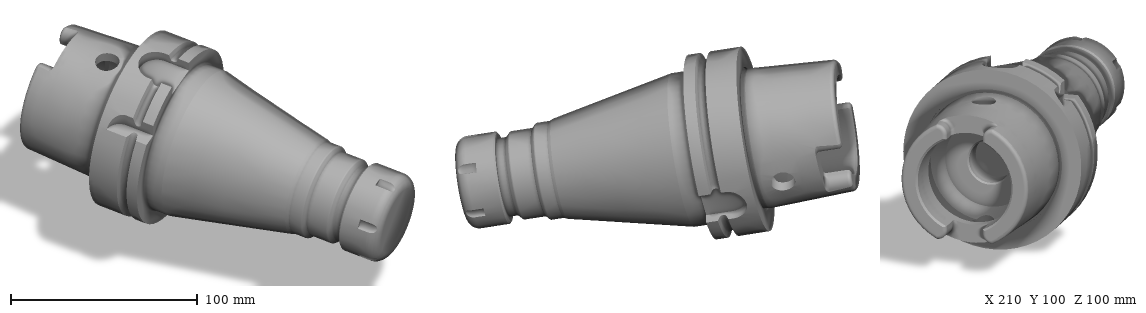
import cadquery as cq
import math


total_length = 210.0
flange_radius = 50.0

flange_start = 50.0
shank_end_radius = 35.5
shank_taper = 0.05
shank_rim_round = 2.0
relief_start = 47.7
relief_depth = 0.5
relief_ramp = 1.3
face_recess_radius = 39.0
face_recess_depth = 1.0
cross_hole_x = 34.9
cross_hole_radius = 6.5

bore_radius = 26.2
mouth_chamfer = 1.0
clamp_start = 19.7
clamp_end = 38.8
clamp_radius = 31.0
floor_radius = 24.8
floor_x = clamp_end + clamp_radius - floor_radius
thread_radius = 11.8
thread_depth = 12.5
thread_chamfer = 0.8

drive_slot_width = 20.2
drive_slot_top_depth = 9.7
drive_slot_bottom_depth = 14.5
drive_lug_radius = 5.2
drive_lug_height = 32.0
drive_floor_round = 1.9

flange_end = 79.0
groove_start = 66.8
groove_width = 5.9
groove_radius = 46.2
groove_slope = 23.0
groove_fillet = 1.7
groove_wall = (flange_radius - groove_radius) * math.tan(math.radians(groove_slope))

keyway_width = 19.7
keyway_start = 54.8
keyway_floor = 43.0
notch_offset = 31.3
notch_start = 54.8
notch_radius = 8.0

neck_radius = 41.5
neck_fillet = 1.0
cone_start = 89.5
cone_end = 156.5
cone_end_radius = 27.0
collar_start = 158.3
collar_radius = 26.2
collar_end = 165.7
collar_round = 1.0
nose_radius = 24.0
nose_start = 167.8
nose_end = 180.0
nose_round = 1.0
throat_start = 182.7
throat_radius = 21.2
throat_fillet = 1.3

nut_start = 187.3
nut_radius = 25.0
nut_chamfer = 0.8
nut_round = 6.3
nut_slot_count = 6
nut_slot_start = 198.0
nut_slot_radius = 3.0
nut_slot_floor = 23.0


def turned(points):
    """Solid of revolution about X from (x, radius) points, closed along the axis."""
    first_x = points[0][0]
    last_x = points[-1][0]
    outline = cq.Workplane("XY").polyline([(first_x, 0), *points, (last_x, 0)]).close()
    return outline.revolve(360, (0, 0, 0), (1, 0, 0))


def ring_edge(body, x, radius):
    """The circular edge of a turned body with the given x and radius."""
    tolerance = 0.002

    def matches(edge):
        if edge.geomType() != "CIRCLE":
            return False
        return abs(edge.Center().x - x) < tolerance and abs(edge.radius() - radius) < tolerance

    return body.edges().filter(matches)


def shank_radius(x):
    return shank_end_radius + shank_taper * x


def holder_blank():
    blank = turned([
        (0, shank_radius(0)),
        (relief_start, shank_radius(relief_start)),
        (relief_start + relief_ramp, shank_radius(relief_start) - relief_depth),
        (flange_start + face_recess_depth, shank_radius(relief_start) - relief_depth),
        (flange_start + face_recess_depth, face_recess_radius),
        (flange_start, face_recess_radius),
        (flange_start, flange_radius),
        (groove_start, flange_radius),
        (groove_start + groove_wall, groove_radius),
        (groove_start + groove_width - groove_wall, groove_radius),
        (groove_start + groove_width, flange_radius),
        (flange_end, flange_radius),
        (flange_end, neck_radius),
        (cone_start, neck_radius),
        (cone_end, cone_end_radius),
        (collar_start, collar_radius),
        (collar_end, collar_radius),
        (nose_start, nose_radius),
        (nose_end, nose_radius),
        (throat_start, throat_radius),
        (nut_start, throat_radius),
    ])
    rounded_rings = [
        (groove_start + groove_wall, groove_radius, groove_fillet),
        (groove_start + groove_width - groove_wall, groove_radius, groove_fillet),
        (flange_end, neck_radius, neck_fillet),
        (collar_end, collar_radius, collar_round),
        (nose_end, nose_radius, nose_round),
        (throat_start, throat_radius, throat_fillet),
    ]
    for x, radius, fillet_radius in rounded_rings:
        blank = ring_edge(blank, x, radius).fillet(fillet_radius)
    return ring_edge(blank, 0, shank_radius(0)).fillet(shank_rim_round)


def shank_bore():
    return turned([
        (0, bore_radius + mouth_chamfer),
        (mouth_chamfer, bore_radius),
        (clamp_start, bore_radius),
        (clamp_start, clamp_radius),
        (clamp_end, clamp_radius),
        (floor_x, floor_radius),
        (floor_x, thread_radius + thread_chamfer),
        (floor_x + thread_chamfer, thread_radius),
        (floor_x + thread_depth, thread_radius),
    ])


def drive_slot(depth):
    """Cutter for the +Z slot across the shank end; it flares over the rounded lug corners."""
    half = drive_slot_width / 2
    flare_side = half + drive_lug_radius
    flare_start = drive_lug_height - drive_lug_radius
    bend = drive_lug_radius * math.sqrt(0.5)
    reach = flange_radius
    plain_slot = (
        cq.Workplane("YZ")
        .moveTo(-half, 0)
        .lineTo(half, 0)
        .lineTo(half, flare_start)
        .threePointArc((flare_side - bend, flare_start + bend), (flare_side, drive_lug_height))
        .lineTo(reach, drive_lug_height)
        .lineTo(reach, reach)
        .lineTo(-reach, reach)
        .lineTo(-reach, drive_lug_height)
        .lineTo(-flare_side, drive_lug_height)
        .threePointArc((bend - flare_side, flare_start + bend), (-half, flare_start))
        .close()
        .extrude(depth)
    )
    plain_slot = plain_slot.faces(">X").edges("not <Z").fillet(drive_floor_round)

    block_reach = shank_radius(flange_start)
    block = cq.Workplane("XY").box(depth, 2 * block_reach, block_reach, centered=(False, True, False))
    lugs = block.cut(plain_slot)
    lugs = lugs.faces("<X").edges("not (<Z or <Y or >Y)").fillet(shank_rim_round)
    return block.cut(lugs)


def keyway():
    """Cutter for the round-ended +Z keyway that opens toward the cone."""
    half = keyway_width / 2
    round_x = keyway_start + half
    height = flange_radius
    straight = cq.Workplane("XY").box(flange_end - round_x, keyway_width, height, centered=(False, True, False))
    straight = straight.translate((round_x, 0, 0))
    end = cq.Workplane("XY").center(round_x, 0).circle(half).extrude(height)
    return straight.union(end).translate((0, 0, keyway_floor))


def orientation_notch():
    """Cutter for the round-ended corner notch between the -Y and +Z sides."""
    round_x = notch_start + notch_radius
    outer = -flange_radius
    inner = -notch_offset
    bend = notch_radius * math.sqrt(0.5)
    centre_y = inner - notch_radius
    return (
        cq.Workplane("XY", origin=(0, 0, notch_offset))
        .moveTo(flange_end, inner)
        .lineTo(round_x, inner)
        .threePointArc((round_x - bend, centre_y + bend), (notch_start, centre_y))
        .lineTo(notch_start, outer)
        .lineTo(flange_end, outer)
        .close()
        .extrude(flange_radius)
    )


def make_holder():
    holder = holder_blank()
    holder = holder.cut(drive_slot(drive_slot_top_depth))
    holder = holder.cut(drive_slot(drive_slot_bottom_depth).mirror("XY"))
    holder = holder.cut(shank_bore())
    cross_hole = (
        cq.Workplane("XY")
        .center(cross_hole_x, 0)
        .circle(cross_hole_radius)
        .extrude(flange_radius, both=True)
    )
    holder = holder.cut(cross_hole)
    holder = holder.cut(keyway())
    holder = holder.cut(keyway().mirror("XY"))
    return holder.cut(orientation_notch())


def make_nut():
    nut = turned([
        (nut_start, nut_radius),
        (total_length, nut_radius),
    ])
    nut = ring_edge(nut, nut_start, nut_radius).chamfer(nut_chamfer)
    nut = ring_edge(nut, total_length, nut_radius).fillet(nut_round)
    slot = (
        cq.Workplane("YZ", origin=(nut_slot_start, 0, 0))
        .center(0, nut_slot_floor + nut_slot_radius)
        .circle(nut_slot_radius)
        .extrude(total_length - nut_slot_start)
    )
    for index in range(nut_slot_count):
        angle = index * 360 / nut_slot_count
        nut = nut.cut(slot.rotate((0, 0, 0), (1, 0, 0), angle))
    return nut


holder = make_holder()
nut = make_nut()
result = cq.Compound.makeCompound([holder.val(), nut.val()])